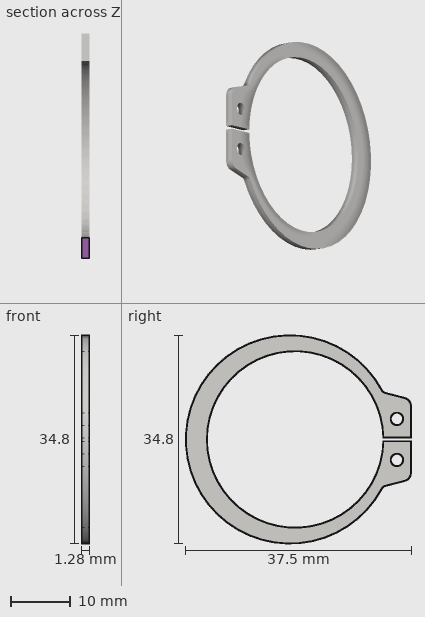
import cadquery as cq
import math

overall_length = 37.55
thickness = 1.28
outer_radius = 34.75 / 2
inner_radius = 14.7
bore_offset = 0.85

gap_width = 0.6
lug_half_height = 6.65
lug_slope = math.radians(14.5)
lug_corner_radius = 1.5
lug_root_radius = 0.95

hole_diameter = 2.03
hole_inset = 2.35
hole_height = 3.4

lug_end = overall_length - outer_radius
lug_base = outer_radius / 2
lug_base_half_height = lug_half_height + (lug_end - lug_base) * math.tan(lug_slope)


def disc(radius, y=0.0, z=0.0):
    """Disc of the ring's thickness, centred on the YZ plane."""
    return (
        cq.Workplane("YZ", origin=(-thickness / 2, y, z))
        .circle(radius)
        .extrude(thickness)
    )


def make_lugs():
    """Both lugs as one tapered block with rounded end corners."""
    return (
        cq.Workplane("YZ", origin=(-thickness / 2, 0, 0))
        .moveTo(lug_base, -lug_base_half_height)
        .lineTo(lug_end, -lug_half_height)
        .lineTo(lug_end, lug_half_height)
        .lineTo(lug_base, lug_base_half_height)
        .close()
        .extrude(thickness)
        .edges("|X and >Y")
        .fillet(lug_corner_radius)
    )


def round_lug_roots(body):
    """Blend the sloping lug sides into the outer circle."""
    normal_distance = lug_half_height * math.cos(lug_slope) + lug_end * math.sin(lug_slope)
    root_angle = math.pi / 2 - lug_slope - math.acos(normal_distance / outer_radius)
    root_y = outer_radius * math.cos(root_angle)
    root_z = outer_radius * math.sin(root_angle)
    box_size = 0.38
    for side in (1, -1):
        selector = cq.selectors.BoxSelector(
            (-thickness, root_y - box_size, side * root_z - box_size),
            (thickness, root_y + box_size, side * root_z + box_size),
        )
        body = body.edges("|X").edges(selector).fillet(lug_root_radius)
    return body


def make_slit():
    """Slit that splits the ring between the lugs."""
    return cq.Workplane("XY").box(
        thickness, lug_end, gap_width, centered=(True, False, True)
    )


result = round_lug_roots(disc(outer_radius).union(make_lugs()))
result = result.cut(disc(inner_radius, bore_offset)).cut(make_slit())
for side in (1, -1):
    result = result.cut(disc(hole_diameter / 2, lug_end - hole_inset, side * hole_height))